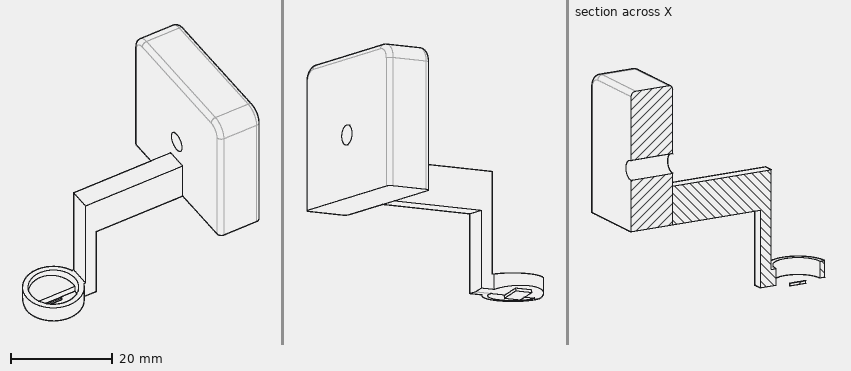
import cadquery as cq
import math

block_width = 32.55
block_depth = 9.6
block_height = 29.0
corner_radius = 3.2
edge_radius = 1.0
hole_diameter = 4.0
hole_height = 12.75

arm_width = 4.55
arm_height = 8.1
arm_end_y = -32.1
leg_thickness = 2.5

overall_depth = 44.3
ring_inner_diameter = 10.0
ring_outer_diameter = 12.25
ring_height = 3.5
ring_radius = ring_outer_diameter / 2
ring_center_y = ring_radius - overall_depth
floor_thickness = 1.32

slope_angle = 10.0
slope = math.tan(math.radians(slope_angle))

tab_length = 4.5
tab_width = 3.65
tab_thickness = 0.6
tab_overhang = 0.27

overall_height = 45.65
slope_sine = math.sin(math.radians(slope_angle))
slope_cosine = math.cos(math.radians(slope_angle))
tab_drop = tab_overhang * slope_sine + tab_thickness * slope_cosine
foot_z = block_height - overall_height + tab_drop


def make_block():
    """Rectangular block with rounded upper corners and a cross hole."""
    block = cq.Workplane("XY").box(
        block_width, block_depth, block_height, centered=(True, False, False)
    ).translate((0, -block_depth, 0))
    block = block.edges("|Y and >Z").fillet(corner_radius)
    block = block.faces("<Y or >Y").edges("not <Z").fillet(edge_radius)
    hole = (
        cq.Workplane("XZ")
        .center(0, hole_height)
        .circle(hole_diameter / 2)
        .extrude(block_depth)
    )
    return block.cut(hole)


def make_slope_wedge(bottom_z, top_z):
    """Region on the -X side between a rising plane and, below it, bottom_z.

    The rising plane passes through height top_z at X = 0.
    """
    reach = ring_outer_diameter
    return (
        cq.Workplane("XZ")
        .polyline([(0, bottom_z), (0, top_z), (-reach, top_z + reach * slope), (-reach, bottom_z)])
        .close()
        .extrude(overall_depth)
    )


def make_arm():
    """Horizontal beam, vertical leg and half-floored ring, as one bracket."""
    leg_back_y = arm_end_y + leg_thickness
    profile = [
        (-block_depth, 0),
        (-block_depth, arm_height),
        (arm_end_y, arm_height),
        (arm_end_y, foot_z),
        (leg_back_y, foot_z),
        (leg_back_y, 0),
    ]
    bracket = cq.Workplane("YZ").polyline(profile).close().extrude(arm_width / 2, both=True)

    foot_plane = cq.Workplane("XY", origin=(0, ring_center_y, foot_z))
    neck_length = arm_end_y - ring_center_y
    neck = foot_plane.center(0, neck_length / 2).rect(arm_width, neck_length).extrude(ring_height)
    ring = foot_plane.circle(ring_radius).extrude(ring_height)
    bore = foot_plane.circle(ring_inner_diameter / 2).extrude(ring_height)

    floor = bore.intersect(make_slope_wedge(foot_z, foot_z + floor_thickness))
    bracket = bracket.union(neck).union(ring).cut(bore).union(floor)
    return bracket.cut(make_slope_wedge(foot_z - ring_height, foot_z))


def make_tab():
    """Thin plate lying against the underside, tilted with the slope."""
    tab = cq.Workplane("XY").box(
        tab_length, tab_width, tab_thickness, centered=(False, True, False)
    ).translate((tab_overhang - tab_length, 0, -tab_thickness))
    tab = tab.rotate((0, 0, 0), (0, 1, 0), slope_angle)
    return tab.translate((0, ring_center_y, foot_z))


block = make_block()
arm = make_arm()
tab = make_tab()

result = cq.Compound.makeCompound([block.val(), arm.val(), tab.val()])